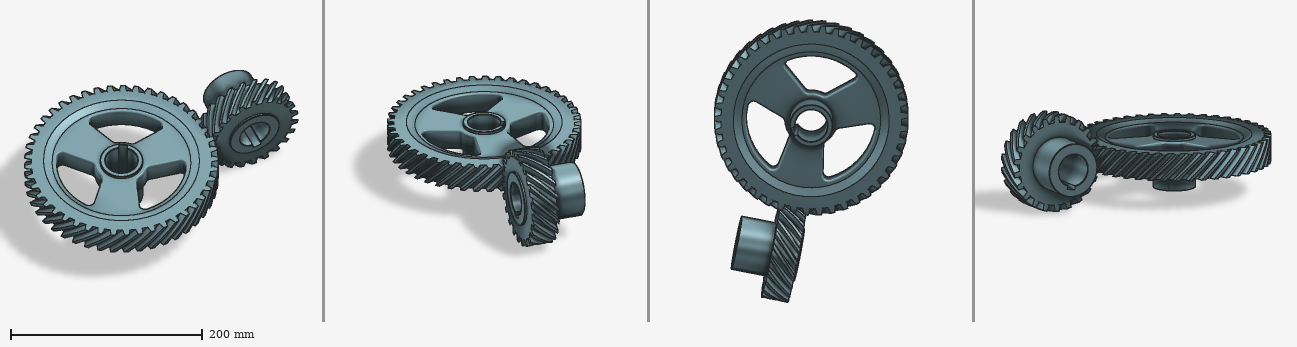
import cadquery as cq
import math


overall_length = 298.5
wheel_diameter = 202.5
pinion_diameter = 102.0
wheel_teeth = 45
pinion_teeth = 22
face_width = 28.0
helix_angle = 45
tooth_depth = 7.0
wheel_gap_tip_width = 9.8
wheel_gap_root_width = 5.5
pinion_gap_tip_width = 9.8
pinion_gap_root_width = 6.0

wheel_radius = wheel_diameter / 2
pinion_radius = pinion_diameter / 2
centre_distance = overall_length - wheel_radius - pinion_radius
wheel_pitch_radius = centre_distance * wheel_teeth / (wheel_teeth + pinion_teeth)
pinion_pitch_radius = centre_distance - wheel_pitch_radius
half_face = face_width / 2

bore_diameter = 34.0
key_width = 9
key_reach = 20.5
wheel_key_angle = 150
pinion_key_angle = -82
edge_chamfer = 0.5

wheel_hub_diameter = 44.8
wheel_hub_length = 28.0
recess_depth = 3
recess_top_radius = 81.5
recess_floor_radius = 72.5
web_thickness = face_width - 2 * recess_depth
half_web = web_thickness / 2

window_count = 3
window_inner_radius = 27.7
window_outer_radius = 67.7
window_half_angle = 50
window_apex_offset = 18
window_corner_radius = 6
window_edge_radius = 2.0

pinion_hub_diameter = 56.7
pinion_hub_end = 50.7
pinion_boss_end = 16.5


def polar(radius, angle):
    """Point at a radius and an angle in radians."""
    return (radius * math.cos(angle), radius * math.sin(angle))


def helical_gear(teeth, tip_radius, pitch_radius, gap_tip_width, gap_root_width, gap_angle):
    """Right-hand helical gear blank along Z; at its mid-plane a gap is centred on gap_angle."""
    root_radius = tip_radius - tooth_depth
    pitch_angle = 2 * math.pi / teeth
    half_gap_tip = gap_tip_width / tip_radius / 2
    half_gap_root = gap_root_width / root_radius / 2
    half_twist = half_face * math.tan(math.radians(helix_angle)) / pitch_radius
    first_gap = math.radians(gap_angle) - half_twist

    outline = cq.Workplane("XY").workplane(offset=-half_face)
    outline = outline.moveTo(*polar(tip_radius, first_gap - half_gap_tip))
    for i in range(teeth):
        gap = first_gap + i * pitch_angle
        outline = outline.lineTo(*polar(root_radius, gap - half_gap_root))
        outline = outline.threePointArc(polar(root_radius, gap), polar(root_radius, gap + half_gap_root))
        outline = outline.lineTo(*polar(tip_radius, gap + half_gap_tip))
        tooth_end = polar(tip_radius, gap + pitch_angle - half_gap_tip)
        outline = outline.threePointArc(polar(tip_radius, gap + pitch_angle / 2), tooth_end)
    return outline.close().twistExtrude(face_width, math.degrees(2 * half_twist))


def disc(diameter, bottom, top):
    """Cylinder on the Z axis between two heights."""
    return cq.Workplane("XY").workplane(offset=bottom).circle(diameter / 2).extrude(top - bottom)


def hub(diameter, bottom, top):
    """Hub on the Z axis with both rims chamfered."""
    return disc(diameter, bottom, top).faces("|Z").edges().chamfer(edge_chamfer)


def bore_chamfer(end, inward):
    """Cutter for the chamfer of the bore at one end; inward is the Z sign that points into the part."""
    bore_radius = bore_diameter / 2
    cone_height = inward * edge_chamfer
    return (
        cq.Workplane("XZ")
        .moveTo(0, end)
        .lineTo(bore_radius + edge_chamfer, end)
        .lineTo(bore_radius, end + cone_height)
        .lineTo(0, end + cone_height)
        .close()
        .revolve(360, (0, 0, 0), (0, 1, 0))
    )


def keyed_bore(key_angle, bottom, top):
    """Cutter for a through bore with one keyway that points along key_angle."""
    keyway = cq.Workplane("XY").workplane(offset=bottom).center(key_reach / 2, 0)
    keyway = keyway.rect(key_reach, key_width).extrude(top - bottom)
    keyway = keyway.rotate((0, 0, 0), (0, 0, 1), key_angle)
    bore = disc(bore_diameter, bottom, top)
    for end, inward in ((bottom, 1), (top, -1)):
        bore = bore.union(bore_chamfer(end, inward))
    return bore.union(keyway)


def rim_recess():
    """Cutter for the recess with a sloped wall in the upper face."""
    return (
        cq.Workplane("XZ")
        .moveTo(0, half_web)
        .lineTo(recess_floor_radius, half_web)
        .lineTo(recess_top_radius, half_face)
        .lineTo(0, half_face)
        .close()
        .revolve(360, (0, 0, 0), (0, 1, 0))
    )


def window():
    """Cutter for the window on the -Y side, with rounded corners."""
    half_angle = math.radians(window_half_angle)
    side_x = wheel_radius * math.sin(half_angle)
    side_y = -window_apex_offset - wheel_radius * math.cos(half_angle)
    wedge = (
        cq.Workplane("XY")
        .workplane(offset=-half_web)
        .polyline([(0, -window_apex_offset), (side_x, side_y), (-side_x, side_y)])
        .close()
        .extrude(web_thickness)
    )
    ring = disc(2 * window_outer_radius, -half_web, half_web)
    ring = ring.cut(disc(2 * window_inner_radius, -half_web, half_web))
    return wedge.intersect(ring).edges("|Z").fillet(window_corner_radius)


def window_edges():
    """Selector for the edges of the windows on both faces of the web, out to the recess wall."""
    reach = (recess_floor_radius + window_outer_radius) / 2
    return cq.selectors.BoxSelector((-reach, -reach, -half_face), (reach, reach, half_face))


def make_wheel():
    mesh_gap_angle = 90 + 180 / wheel_teeth
    body = helical_gear(
        wheel_teeth, wheel_radius, wheel_pitch_radius,
        wheel_gap_tip_width, wheel_gap_root_width, mesh_gap_angle,
    )
    recess = rim_recess()
    body = body.cut(recess).cut(recess.mirror("XY"))
    opening = window()
    for i in range(window_count):
        body = body.cut(opening.rotate((0, 0, 0), (0, 0, 1), i * 360 / window_count))
    body = body.edges("#Z").edges(window_edges()).fillet(window_edge_radius)
    hub_bottom = -half_face - wheel_hub_length
    body = body.union(hub(wheel_hub_diameter, hub_bottom, half_face))
    return body.cut(keyed_bore(wheel_key_angle, hub_bottom, half_face))


def make_pinion():
    mesh_gap_angle = 180
    body = helical_gear(
        pinion_teeth, pinion_radius, pinion_pitch_radius,
        pinion_gap_tip_width, pinion_gap_root_width, mesh_gap_angle,
    )
    body = body.union(hub(pinion_hub_diameter, -pinion_hub_end, pinion_boss_end))
    body = body.cut(keyed_bore(pinion_key_angle, -pinion_hub_end, pinion_boss_end))
    body = body.rotate((0, 0, 0), (1, 1, 1), 120)
    return body.translate((0, centre_distance, 0))


wheel = make_wheel()
pinion = make_pinion()

result = cq.Compound.makeCompound([wheel.solids().val(), pinion.solids().val()])